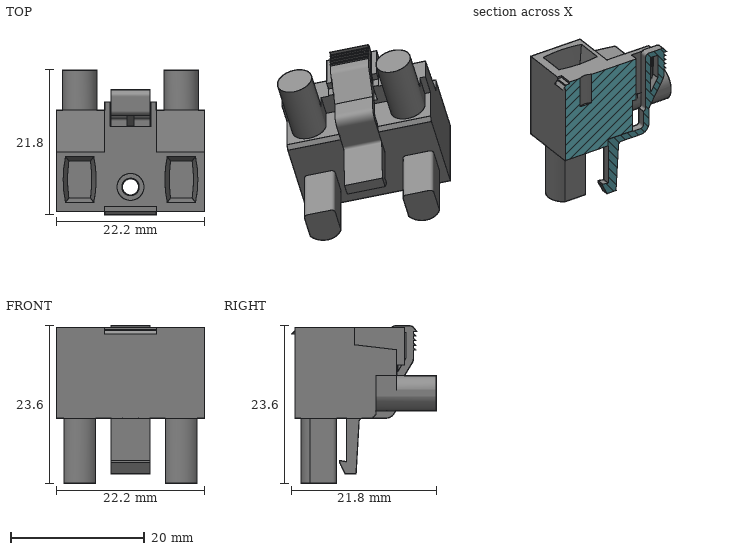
import cadquery as cq
import math


width = 22.24
height = 13.65
upper_depth = 15.23
lower_depth = 12.17
lower_height = 6.41
bottom_chamfer = 0.6
ledge_front = 8.92
ledge_front_z = 11.05
ledge_back_z = 10.3

tower_width = 7.74
tower_depth = 16.46
tower_bottom = 8.0
column_depth = 15.36
slot_width = 6.08
slot_front = 12.8

pole_x = 7.63
socket_y = 4.82
socket_depth = 3.5
socket_top = dict(length=6.86, corner_width=4.24, middle_width=4.96)
socket_floor = dict(length=5.6, corner_width=3.25, middle_width=3.62)
screw_y = 3.71
screw_top_diameter = 2.62
screw_bottom_diameter = 2.42
screw_head_diameter = 4.04
screw_head_depth = 5.0
lip_recess_length = 0.76
lip_recess_depth = 0.3
lip_reach = 0.5
lip_top_z = 13.15
lip_bottom_z = 12.65

lower_pin_length = 9.75
lower_pin_width = 4.77
lower_pin_front = 0.91
lower_pin_flat_front = 2.24
lower_pin_back = 6.25
lower_pin_fillet = 0.57
rear_pin_diameter = 5.32
rear_pin_width = 5.22
rear_pin_z = 3.76
rear_pin_end = 21.25

latch_width = 5.86
latch_top = 13.9
latch_wall = 1.0
foot_wall = 1.12
leg_back = 17.83
leg_front = 16.65
bend_z = 8.7
slant = 0.6
foot_back = 15.15
foot_radius = 1.55
shelf_z = 4.0
inner_wall_front = 14.46
top_front_radius = 0.6
top_back_radius = 0.72
bend_radius = 1.5
web_width = 1.16
gusset_width = 1.05
gusset_front = 12.87
gusset_top = 5.4
grip_teeth = 4
grip_pitch = 0.715
grip_depth = 0.33
grip_first_z = 12.37
edge_tooth_y = 18.33
edge_tooth_z = 13.02
edge_tooth_base = 17.6
hook_front = 7.71
hook_top_back = 9.68
hook_bottom_back = 9.2
hook_bottom_front = 7.54
hook_bottom = -8.35
hook_root_radius = 0.5
barb_y = 6.69
barb_top = -6.31
barb_bottom = -6.61
barb_root = -6.49


def side_prism(points, thickness):
    """Extrude a closed (Y, Z) outline symmetrically about X = 0."""
    return cq.Workplane("YZ").polyline(points).close().extrude(thickness / 2, both=True)


def box(x_size, y_from, y_to, z_from, z_to, x_center=0):
    """Block centred on x_center, with its Y and Z limits given."""
    return (
        cq.Workplane("XY", origin=(x_center, (y_from + y_to) / 2, z_from))
        .rect(x_size, y_to - y_from)
        .extrude(z_to - z_from)
    )


def housing_block():
    block = side_prism(
        [
            (0, 0),
            (lower_depth - bottom_chamfer, 0),
            (lower_depth, bottom_chamfer),
            (lower_depth, lower_height),
            (upper_depth, lower_height),
            (upper_depth, ledge_back_z),
            (ledge_front, ledge_front_z),
            (ledge_front, height),
            (0, height),
        ],
        width,
    )
    tower = box(tower_width, ledge_front, tower_depth, tower_bottom, height)
    column = box(tower_width, ledge_front, column_depth, lower_height, tower_bottom)
    return block.union(tower).union(column)


def latch_cavity():
    """Slot through the tower, and the recess under the housing for the latch arm."""
    slot = box(slot_width, slot_front, tower_depth, 0, height)
    arm_recess = box(latch_width, hook_front, slot_front, 0, foot_wall)
    return slot.union(arm_recess)


def barrel_outline(plane, length, corner_width, middle_width):
    """Rectangle whose two long sides bow outwards as arcs."""
    corner_x = corner_width / 2
    middle_x = middle_width / 2
    end_y = length / 2
    return (
        plane.moveTo(-corner_x, -end_y)
        .lineTo(corner_x, -end_y)
        .threePointArc((middle_x, 0), (corner_x, end_y))
        .lineTo(-corner_x, end_y)
        .threePointArc((-middle_x, 0), (-corner_x, -end_y))
        .close()
    )


def socket(x_center):
    """Tapered plug socket in the top face."""
    top = cq.Workplane("XY", origin=(x_center, socket_y, height))
    floor_plane = barrel_outline(top, **socket_top).workplane(offset=-socket_depth)
    return barrel_outline(floor_plane, **socket_floor).loft(ruled=True)


def screw_hole():
    head_floor = height - screw_head_depth
    shank = cq.Solid.makeCone(
        screw_bottom_diameter / 2, screw_top_diameter / 2, head_floor, pnt=cq.Vector(0, screw_y, 0)
    )
    head = (
        cq.Workplane("XY", origin=(0, screw_y, head_floor))
        .circle(screw_head_diameter / 2)
        .extrude(screw_head_depth)
    )
    return head.add(shank).combine()


def front_lip():
    return side_prism([(0, lip_bottom_z), (-lip_reach, lip_bottom_z), (0, lip_top_z)], tower_width)


def lower_pin(x_center):
    """Flat-sided pin below the housing, with a bowed front and rounded back edges."""
    half = lower_pin_width / 2
    return (
        cq.Workplane("XY", origin=(x_center, 0, -lower_pin_length))
        .moveTo(-half, lower_pin_flat_front)
        .threePointArc((0, lower_pin_front), (half, lower_pin_flat_front))
        .lineTo(half, lower_pin_back)
        .lineTo(-half, lower_pin_back)
        .close()
        .extrude(lower_pin_length)
        .edges("|Z and >Y")
        .fillet(lower_pin_fillet)
    )


def rear_pin(x_center):
    """Round pin with side flats, joined to the overhang by a square shoulder."""
    radius = rear_pin_diameter / 2
    rod = (
        cq.Workplane("XZ", origin=(x_center, lower_depth, rear_pin_z))
        .circle(radius)
        .extrude(lower_depth - rear_pin_end)
    )
    flats = box(rear_pin_width, lower_depth, rear_pin_end, 0, height, x_center)
    shoulder = box(rear_pin_width, lower_depth, upper_depth, rear_pin_z, lower_height, x_center)
    return rod.intersect(flats).union(shoulder)


def make_housing():
    body = housing_block().cut(latch_cavity()).cut(screw_hole())
    body = body.cut(box(tower_width, 0, lip_recess_length, height - lip_recess_depth, height))
    body = body.union(front_lip())
    for x_center in (-pole_x, pole_x):
        body = body.cut(socket(x_center))
        body = body.union(lower_pin(x_center))
        body = body.union(rear_pin(x_center))
    return body


def latch_outline():
    """Closed silhouette of the latch above the hook, from the arm up to the thumb grip."""
    foot_front = foot_back - foot_wall
    slant_bottom_z = bend_z - (leg_back - foot_back) / slant
    shelf_radius = inner_wall_front - foot_front
    return (
        cq.Workplane("YZ")
        .moveTo(hook_front, 0)
        .lineTo(foot_back - foot_radius, 0)
        .radiusArc((foot_back, foot_radius), -foot_radius)
        .lineTo(foot_back, slant_bottom_z)
        .lineTo(leg_back, bend_z)
        .lineTo(leg_back, edge_tooth_z)
        .lineTo(edge_tooth_y, edge_tooth_z)
        .lineTo(edge_tooth_base, latch_top)
        .lineTo(inner_wall_front, latch_top)
        .lineTo(inner_wall_front, shelf_z + shelf_radius)
        .radiusArc((foot_front, shelf_z), shelf_radius)
        .lineTo(foot_front, foot_radius)
        .radiusArc((foot_back - foot_radius, foot_wall), foot_radius - foot_wall)
        .lineTo(hook_front, foot_wall)
        .close()
    )


def round_edge(body, y, z, radius):
    """Fillet the edge along X that passes through (y, z)."""
    edge = cq.selectors.NearestToPointSelector((0, y, z))
    return body.edges("|X").edges(edge).fillet(radius)


def latch_hollows():
    """Pockets in both sides of the latch, leaving a web in the middle."""
    inner_wall_back = inner_wall_front + latch_wall
    ceiling = latch_top - latch_wall
    slope_length = math.hypot(1, slant)
    horizontal_wall = (leg_back - leg_front) * slope_length
    bend_inner_z = bend_z + (horizontal_wall - (leg_back - leg_front)) / slant
    tip_z = bend_inner_z - (leg_front - inner_wall_back) / slant
    pocket = [
        (inner_wall_back, tip_z),
        (leg_front, bend_inner_z),
        (leg_front, ceiling),
        (inner_wall_back, ceiling),
    ]
    return side_prism(pocket, latch_width).cut(side_prism(pocket, web_width))


def grip_tooth(tip_z):
    """Small saw tooth on the back of the upper leg, flat underneath."""
    return side_prism(
        [(leg_back, tip_z), (leg_back + grip_depth, tip_z), (leg_back, tip_z + grip_depth)], latch_width
    )


def hook():
    """Stem below the arm, ending in a forward-facing barb."""
    return side_prism(
        [
            (hook_front, 0),
            (hook_front, barb_root),
            (barb_y, barb_top),
            (barb_y, barb_bottom),
            (hook_bottom_front, hook_bottom),
            (hook_bottom_back, hook_bottom),
            (hook_top_back, 0),
        ],
        latch_width,
    )


def gusset():
    """Triangular rib in the corner between the arm and the upright wall."""
    return side_prism(
        [(gusset_front, foot_wall), (inner_wall_front, foot_wall), (inner_wall_front, gusset_top)],
        gusset_width,
    )


def make_latch():
    body = latch_outline().extrude(latch_width / 2, both=True).union(hook())
    body = round_edge(body, hook_top_back, 0, hook_root_radius)
    body = round_edge(body, leg_back, bend_z, bend_radius)
    body = round_edge(body, edge_tooth_base, latch_top, top_back_radius)
    body = round_edge(body, inner_wall_front, latch_top, top_front_radius)
    body = body.cut(latch_hollows()).union(gusset())
    for index in range(grip_teeth):
        body = body.union(grip_tooth(grip_first_z - index * grip_pitch))
    return body


housing = make_housing()
latch = make_latch()

result = cq.Compound.makeCompound([housing.val(), latch.val()])